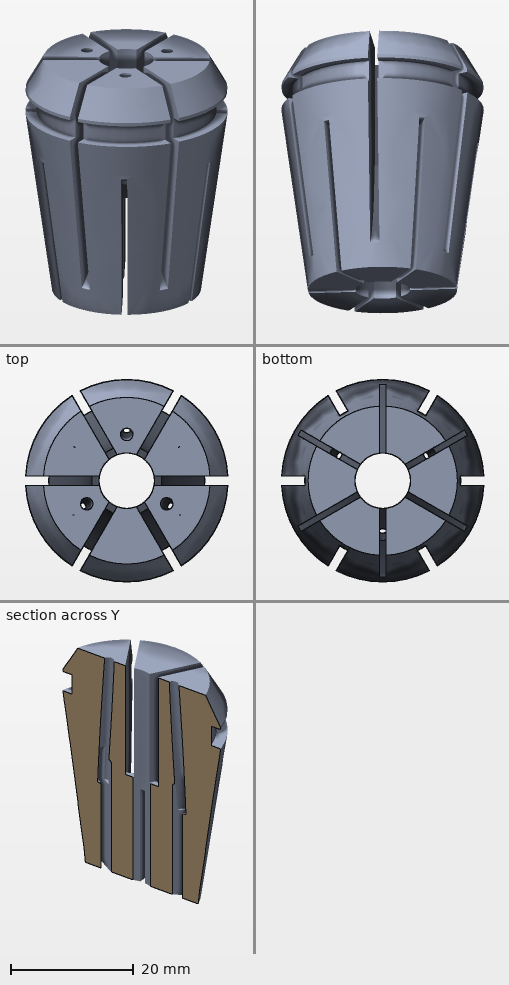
import cadquery as cq
import math

height = 40.0
taper_angle = 8.0
taper_top_radius = 16.5
groove_bottom = 30.9
groove_top = 34.5
groove_radius = 14.7
rim_radius = 16.45
rim_top = 35.05
nose_angle = 30.0
bore_radius = 4.5
taper_bottom_radius = taper_top_radius - groove_bottom * math.tan(math.radians(taper_angle))
nose_top_radius = rim_radius - (height - rim_top) * math.tan(math.radians(nose_angle))

cut_margin = 4.0

slots_per_end = 6
slot_pitch = 360.0 / slots_per_end

top_slot_width = 1.5
top_slot_floor = 19.5
top_slot_saw_radius = 20.5
top_slot_root_radius = 5.7

bottom_slot_width = 1.0
bottom_slot_saw_radius = 18.0
bottom_slot_saw_offset = 19.35
bottom_slot_saw_height = 7.3

hole_count = 3
hole_pitch = 360.0 / hole_count
hole_diameter = 2.0
hole_circle_radius = 7.5
hole_lean = 4.0
hole_first_angle = 90.0
hole_depth = 24.0


def make_body():
    outline = [
        (bore_radius, 0),
        (taper_bottom_radius, 0),
        (taper_top_radius, groove_bottom),
        (groove_radius, groove_bottom),
        (groove_radius, groove_top),
        (rim_radius, groove_top),
        (rim_radius, rim_top),
        (nose_top_radius, height),
        (bore_radius, height),
    ]
    return cq.Workplane("XZ").polyline(outline).close().revolve(360, (0, 0, 0), (0, 1, 0))


def make_saw_cut(width, saw_radius, offset, level):
    """Disc standing in the XZ plane, centred at the given offset along +X and level."""
    return cq.Workplane("XZ").moveTo(offset, level).circle(saw_radius).extrude(width / 2, both=True)


def make_top_slot():
    """Straight slot along +X from the top face, run out to the side by a round saw."""
    reach = taper_top_radius + cut_margin
    depth = height + cut_margin - top_slot_floor
    run = cq.Workplane("XY").workplane(offset=top_slot_floor)
    run = run.center(reach / 2, 0).rect(reach, top_slot_width).extrude(depth)
    saw_offset = top_slot_root_radius + top_slot_saw_radius
    return run.union(make_saw_cut(top_slot_width, top_slot_saw_radius, saw_offset, top_slot_floor))


def make_bottom_slot():
    """Slot along +X left by one plunge of a round saw through the bottom face."""
    return make_saw_cut(
        bottom_slot_width, bottom_slot_saw_radius, bottom_slot_saw_offset, bottom_slot_saw_height
    )


def make_hole():
    """Leaning hole in the +X half, starting above the top face."""
    lean = math.radians(hole_lean)
    direction = cq.Vector(math.sin(lean), 0, -math.cos(lean))
    start = cq.Vector(hole_circle_radius, 0, height) - direction * cut_margin
    return cq.Solid.makeCylinder(hole_diameter / 2, hole_depth + cut_margin, start, direction)


def turn(tool, angle):
    return tool.rotate((0, 0, 0), (0, 0, 1), angle)


top_slot = make_top_slot()
bottom_slot = make_bottom_slot()
hole = cq.Workplane(make_hole())

result = make_body()
for i in range(slots_per_end):
    result = result.cut(turn(top_slot, i * slot_pitch))
    result = result.cut(turn(bottom_slot, (i + 0.5) * slot_pitch))
for i in range(hole_count):
    result = result.cut(turn(hole, hole_first_angle + i * hole_pitch))